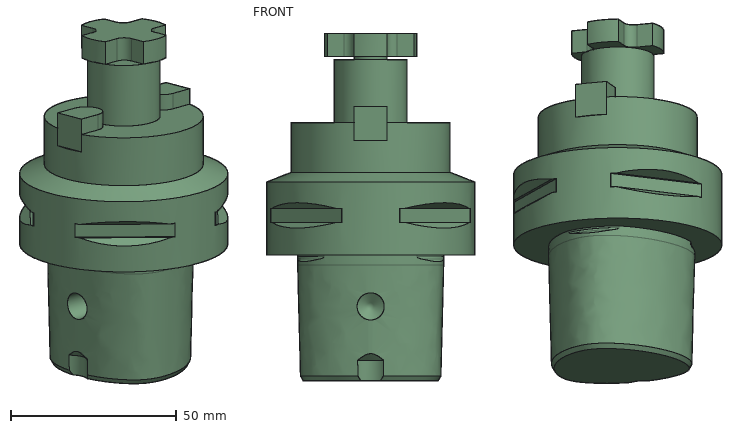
import cadquery as cq
import math

SHANK_TOP = 38.0
COLLAR_TOP = SHANK_TOP + 22.0
CONE_TOP = SHANK_TOP + 25.0
SHOULDER_TOP = SHANK_TOP + 40.0
PILOT_TOP = SHOULDER_TOP + 19.0
TOTAL_HEIGHT = 105.0

COLLAR_DIAMETER = 63.0
SHOULDER_DIAMETER = 48.1
PILOT_DIAMETER = 22.0

SHANK_WIDTH = 44.2
LOBE_RISE = 1.4
TAPER = 1 / 20
STRAIGHT_LENGTH = 3.0
END_CHAMFER_HEIGHT = 1.5
END_CHAMFER_INSET = 0.8
OUTLINE_POINTS = 36

UNDERCUT_RADIUS = 22.4
UNDERCUT_STRAIGHT = 0.5
UNDERCUT_FILLET = 0.9
UNDERCUT_OUTER_RADIUS = 27.3

HOLE_DIAMETER = 8.2
HOLE_Z = 22.5
HOLE_BOTTOM_Y = -10.5
DRILL_TIP_ANGLE = 118.0

NOTCH_RADIUS = 5.4
NOTCH_AXIS_Y = -23.4
NOTCH_WALL_HEIGHT = 6.2

SLOT_COUNT = 4
SLOT_FIRST_ANGLE = 45.0
SLOT_Z = SHANK_TOP + 12.0
SLOT_FLOOR_HEIGHT = 4.2
SLOT_MOUTH_HEIGHT = 7.7
SLOT_LENGTH = 30.2
SLOT_FLOOR_DISTANCE = 27.4
SLOT_FLARE_DISTANCE = 28.4

KEY_WIDTH = 10.0
KEY_TOP = SHOULDER_TOP + 4.8
KEY_BOTTOM = SHOULDER_TOP - 5.5
KEY_FACE_Y = 23.5
KEY_ROUND_CENTER_Y = 16.3

HEAD_DIAMETER = 27.9
HEAD_HEIGHT = 7.0
HEAD_ARM_WIDTH = 10.0
HEAD_CORNER_RADIUS = 3.0
NECK_DIAMETER = 10.0


def lobed_outline(width, z):
    """Closed constant-width curve with three lobes, one of them toward +Y."""
    def point(angle):
        swing = 3 * (angle - math.pi / 2)
        support = width / 2 + LOBE_RISE * math.cos(swing)
        slope = -3 * LOBE_RISE * math.sin(swing)
        return (
            support * math.cos(angle) - slope * math.sin(angle),
            support * math.sin(angle) + slope * math.cos(angle),
        )

    step = 2 * math.pi / OUTLINE_POINTS
    points = [point(i * step) for i in range(OUTLINE_POINTS)]
    return cq.Workplane("XY", origin=(0, 0, z)).spline(points, periodic=True).close().val()


def lobed_section(bottom_width, bottom_z, top_width, top_z):
    wires = [lobed_outline(bottom_width, bottom_z), lobed_outline(top_width, top_z)]
    return cq.Workplane(obj=cq.Solid.makeLoft(wires, True))


def shank():
    straight_z = SHANK_TOP - STRAIGHT_LENGTH
    foot_width = SHANK_WIDTH - TAPER * (straight_z - END_CHAMFER_HEIGHT)
    end_width = foot_width - 2 * END_CHAMFER_INSET
    chamfer = lobed_section(end_width, 0, foot_width, END_CHAMFER_HEIGHT)
    taper = lobed_section(foot_width, END_CHAMFER_HEIGHT, SHANK_WIDTH, straight_z)
    straight = lobed_section(SHANK_WIDTH, straight_z, SHANK_WIDTH, SHANK_TOP)
    return chamfer.union(taper).union(straight)


def undercut():
    """Ring cutter: straight wall, tangent fillet, then a 45 degree flank."""
    flank_angle = math.radians(45)

    def fillet_point(angle):
        return (
            UNDERCUT_RADIUS + UNDERCUT_FILLET * (1 - math.cos(angle)),
            SHANK_TOP - UNDERCUT_STRAIGHT - UNDERCUT_FILLET * math.sin(angle),
        )

    fillet_end = fillet_point(flank_angle)
    flank_drop = UNDERCUT_OUTER_RADIUS - fillet_end[0]
    return (
        cq.Workplane("XZ")
        .moveTo(UNDERCUT_RADIUS, SHANK_TOP)
        .lineTo(*fillet_point(0))
        .threePointArc(fillet_point(flank_angle / 2), fillet_end)
        .lineTo(UNDERCUT_OUTER_RADIUS, fillet_end[1] - flank_drop)
        .lineTo(UNDERCUT_OUTER_RADIUS, SHANK_TOP)
        .close()
        .revolve(360, (0, 0), (0, 1))
    )


def side_hole():
    radius = HOLE_DIAMETER / 2
    tip_depth = radius / math.tan(math.radians(DRILL_TIP_ANGLE / 2))
    return (
        cq.Workplane("XY", origin=(0, 0, HOLE_Z))
        .moveTo(0, -SHANK_WIDTH)
        .lineTo(radius, -SHANK_WIDTH)
        .lineTo(radius, HOLE_BOTTOM_Y)
        .lineTo(0, HOLE_BOTTOM_Y + tip_depth)
        .close()
        .revolve(360, (0, 0), (0, 1))
    )


def foot_notch():
    return (
        cq.Workplane("XZ", origin=(0, NOTCH_AXIS_Y, 0))
        .lineTo(NOTCH_RADIUS, 0)
        .lineTo(NOTCH_RADIUS, NOTCH_WALL_HEIGHT)
        .lineTo(0, NOTCH_WALL_HEIGHT + NOTCH_RADIUS)
        .close()
        .revolve(360, (0, 0), (0, 1))
    )


def turned_body():
    return (
        cq.Workplane("XZ")
        .moveTo(0, SHANK_TOP)
        .lineTo(COLLAR_DIAMETER / 2, SHANK_TOP)
        .lineTo(COLLAR_DIAMETER / 2, COLLAR_TOP)
        .lineTo(SHOULDER_DIAMETER / 2, CONE_TOP)
        .lineTo(SHOULDER_DIAMETER / 2, SHOULDER_TOP)
        .lineTo(PILOT_DIAMETER / 2, SHOULDER_TOP)
        .lineTo(PILOT_DIAMETER / 2, PILOT_TOP)
        .lineTo(0, PILOT_TOP)
        .close()
        .revolve(360, (0, 0), (0, 1))
    )


def gripper_slot(angle):
    """Bar with a flared mouth lying across the collar rim, turned about Z."""
    rim = COLLAR_DIAMETER / 2
    return (
        cq.Workplane("XZ")
        .moveTo(SLOT_FLOOR_DISTANCE, SLOT_Z - SLOT_FLOOR_HEIGHT / 2)
        .lineTo(SLOT_FLARE_DISTANCE, SLOT_Z - SLOT_FLOOR_HEIGHT / 2)
        .lineTo(rim, SLOT_Z - SLOT_MOUTH_HEIGHT / 2)
        .lineTo(rim, SLOT_Z + SLOT_MOUTH_HEIGHT / 2)
        .lineTo(SLOT_FLARE_DISTANCE, SLOT_Z + SLOT_FLOOR_HEIGHT / 2)
        .lineTo(SLOT_FLOOR_DISTANCE, SLOT_Z + SLOT_FLOOR_HEIGHT / 2)
        .close()
        .extrude(SLOT_LENGTH / 2, both=True)
        .rotate((0, 0, 0), (0, 0, 1), angle)
    )


def drive_key(side):
    """Key with a flat outer face and a round inner end; side is +1 or -1 along Y."""
    half_width = KEY_WIDTH / 2
    return (
        cq.Workplane("XY", origin=(0, 0, KEY_BOTTOM))
        .moveTo(-half_width, side * KEY_FACE_Y)
        .lineTo(half_width, side * KEY_FACE_Y)
        .lineTo(half_width, side * KEY_ROUND_CENTER_Y)
        .threePointArc(
            (0, side * (KEY_ROUND_CENTER_Y - half_width)),
            (-half_width, side * KEY_ROUND_CENTER_Y),
        )
        .close()
        .extrude(KEY_TOP - KEY_BOTTOM)
    )


def key_seat(side):
    """Flat milled into the shoulder rim, flush with the outer face of the key."""
    rim_depth = SHOULDER_DIAMETER / 2 - KEY_FACE_Y
    return (
        cq.Workplane("XY", origin=(0, side * (KEY_FACE_Y + rim_depth / 2), KEY_BOTTOM))
        .rect(KEY_WIDTH, rim_depth)
        .extrude(SHOULDER_TOP - KEY_BOTTOM)
    )


def screw_head():
    head_z = TOTAL_HEIGHT - HEAD_HEIGHT
    base = cq.Workplane("XY", origin=(0, 0, head_z))
    half_arm = HEAD_ARM_WIDTH / 2
    cross = (
        base.rect(HEAD_DIAMETER, HEAD_ARM_WIDTH)
        .extrude(HEAD_HEIGHT)
        .union(base.rect(HEAD_ARM_WIDTH, HEAD_DIAMETER).extrude(HEAD_HEIGHT))
    )
    margin = 1.0
    reach = half_arm + margin
    inner_corners = cq.selectors.BoxSelector(
        (-reach, -reach, head_z),
        (reach, reach, TOTAL_HEIGHT),
    )
    cross = cross.edges("|Z").edges(inner_corners).fillet(HEAD_CORNER_RADIUS)
    cross = cross.intersect(base.circle(HEAD_DIAMETER / 2).extrude(HEAD_HEIGHT))
    neck = (
        cq.Workplane("XY", origin=(0, 0, PILOT_TOP))
        .circle(NECK_DIAMETER / 2)
        .extrude(head_z - PILOT_TOP)
    )
    return cross.union(neck)


result = shank().cut(undercut()).cut(side_hole()).cut(foot_notch())
result = result.union(turned_body())

for slot_index in range(SLOT_COUNT):
    result = result.cut(gripper_slot(SLOT_FIRST_ANGLE + slot_index * 360 / SLOT_COUNT))

for key_side in (1, -1):
    result = result.cut(key_seat(key_side)).union(drive_key(key_side))

result = result.union(screw_head())